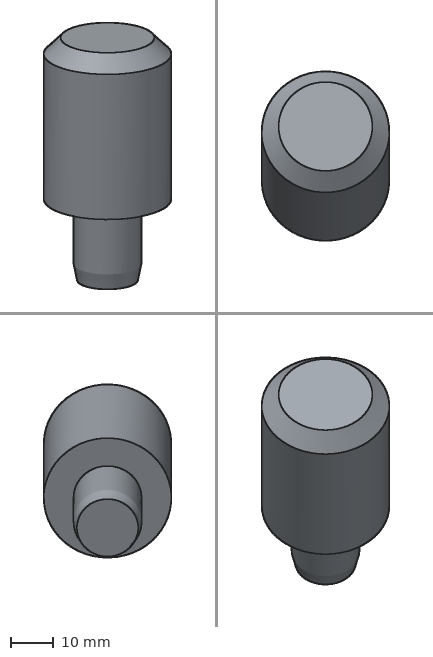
import cadquery as cq

head_diameter = 30.0
head_height = 40.0
head_chamfer = 4.0

shank_diameter = 16.0
shank_length = 20.0
lead_in_length = 4.0
lead_in_inset = 0.8

head_radius = head_diameter / 2
shank_radius = shank_diameter / 2
tip_radius = shank_radius - lead_in_inset

half_profile = (
    cq.Workplane("XZ")
    .moveTo(0, -shank_length)
    .lineTo(tip_radius, -shank_length)
    .lineTo(shank_radius, -shank_length + lead_in_length)
    .lineTo(shank_radius, 0)
    .lineTo(head_radius, 0)
    .lineTo(head_radius, head_height - head_chamfer)
    .lineTo(head_radius - head_chamfer, head_height)
    .lineTo(0, head_height)
    .close()
)

result = half_profile.revolve(360, (0, 0, 0), (0, 1, 0))